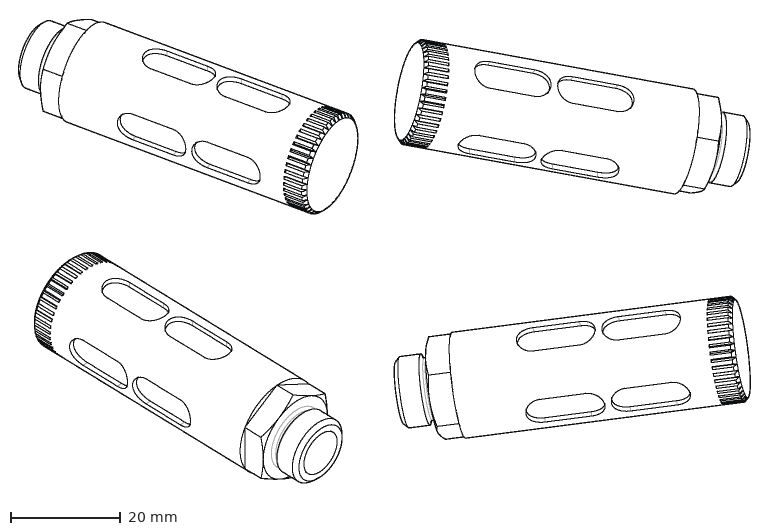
import cadquery as cq
import math

overall_length = 63.3
spigot_end = 4.75
hex_start = 6.3
hex_end = 10.95
knurl_start = 58.75

spigot_diameter = 13.15
spigot_tip_diameter = 11.45
bore_diameter = 8.8
bore_depth = hex_end
undercut_diameter = 11.6
undercut_corner_radius = 0.6

hex_corner_diameter = 19.6
hex_across_flats = hex_corner_diameter * math.cos(math.pi / 6)
hex_chamfer_length = 0.6

body_diameter = 19.5
body_end_chamfer = 0.7

slot_length = 14.55
slot_width = 5.95
slot_floor_diameter = 17.4
slot_centers = (30.7, 46.5)
slot_sides = 4

groove_count = 45
groove_width = 0.6
groove_depth = 0.65


def cylinder(diameter, start, end):
    """A cylinder along X between two stations."""
    return cq.Workplane("YZ", origin=(start, 0, 0)).circle(diameter / 2).extrude(end - start)


def make_spigot():
    """Plain spigot with a chamfered tip and a rounded undercut next to the hexagon."""
    spigot_radius = spigot_diameter / 2
    tip_radius = spigot_tip_diameter / 2
    undercut_radius = undercut_diameter / 2
    half_section = (
        cq.Workplane("XY")
        .lineTo(0, tip_radius)
        .lineTo(spigot_radius - tip_radius, spigot_radius)
        .lineTo(spigot_end, spigot_radius)
        .lineTo(spigot_end, undercut_radius + undercut_corner_radius)
        .radiusArc(
            (spigot_end + undercut_corner_radius, undercut_radius),
            -undercut_corner_radius,
        )
        .lineTo(hex_start - undercut_corner_radius, undercut_radius)
        .radiusArc((hex_start, undercut_radius + undercut_corner_radius), -undercut_corner_radius)
        .lineTo(hex_start, 0)
        .close()
    )
    return half_section.revolve(360, (0, 0, 0), (1, 0, 0))


def make_hexagon():
    """Hexagon whose front corners are turned down to a cone."""
    prism = (
        cq.Workplane("YZ", origin=(hex_start, 0, 0))
        .polygon(6, hex_corner_diameter)
        .extrude(hex_end - hex_start)
        .rotate((0, 0, 0), (1, 0, 0), 90)
    )
    flat_radius = hex_across_flats / 2
    corner_radius = hex_corner_diameter / 2
    turned_envelope = (
        cq.Workplane("XY")
        .polyline(
            [
                (hex_start, 0),
                (hex_start, flat_radius),
                (hex_start + hex_chamfer_length, corner_radius),
                (hex_end, corner_radius),
                (hex_end, 0),
            ]
        )
        .close()
        .revolve(360, (0, 0, 0), (1, 0, 0))
    )
    return prism.intersect(turned_envelope)


def make_body():
    """Cylindrical body, chamfered at its free end."""
    return cylinder(body_diameter, hex_end, overall_length).faces(">X").chamfer(body_end_chamfer)


def make_slots():
    """Slot cutters around the body, ending on a cylindrical floor."""
    cutters = cq.Workplane("XY")
    for side in range(slot_sides):
        row = (
            cq.Workplane("XY")
            .pushPoints([(center, 0) for center in slot_centers])
            .slot2D(slot_length, slot_width)
            .extrude(body_diameter)
            .rotate((0, 0, 0), (1, 0, 0), side * 360 / slot_sides)
        )
        cutters = cutters.add(row)
    return cutters.combine().cut(cylinder(slot_floor_diameter, 0, overall_length))


def make_knurl_grooves():
    """V grooves spaced evenly around the free end, the first one on +Z."""
    body_radius = body_diameter / 2
    outer_radius = body_radius + groove_depth
    groove = (
        cq.Workplane("YZ", origin=(knurl_start, 0, 0))
        .polyline(
            [
                (0, body_radius - groove_depth),
                (groove_width, outer_radius),
                (-groove_width, outer_radius),
            ]
        )
        .close()
        .extrude(overall_length - knurl_start)
    )
    grooves = cq.Workplane("XY")
    for index in range(groove_count):
        grooves = grooves.add(groove.rotate((0, 0, 0), (1, 0, 0), index * 360 / groove_count))
    return grooves


result = make_spigot().union(make_hexagon()).union(make_body())
result = result.cut(cylinder(bore_diameter, 0, bore_depth))
result = result.cut(make_slots())
for groove_solid in make_knurl_grooves().vals():
    result = result.cut(cq.Workplane(groove_solid))